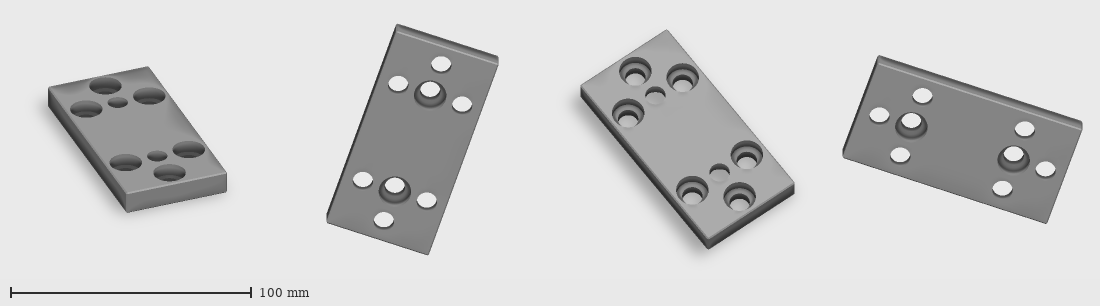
import cadquery as cq

length = 90.0
width = length / 2
thickness = 10.0
edge_chamfer = 0.5

hole_diameter = 8.5
counterbore_diameter = 13.5
counterbore_depth = 5.3
inner_column_x = length / 4
outer_hole_x = 36.5
row_offset_y = 14.0

bottom_bored_points = [(side * inner_column_x, 0) for side in (-1, 1)]
top_bored_points = []
for side in (-1, 1):
    top_bored_points += [
        (side * inner_column_x, row_offset_y),
        (side * inner_column_x, -row_offset_y),
        (side * outer_hole_x, 0),
    ]


def chamfered_plate():
    """Rectangular plate, centred on the origin, with every edge broken."""
    return cq.Workplane("XY").box(length, width, thickness).edges().chamfer(edge_chamfer)


def counterbored_holes(plate, face, points):
    """Counterbored through holes sunk from the selected face."""
    return (
        plate.faces(face)
        .workplane(origin=(0, 0, 0))
        .pushPoints(points)
        .cboreHole(hole_diameter, counterbore_diameter, counterbore_depth)
    )


plate = chamfered_plate()
plate = counterbored_holes(plate, ">Z", top_bored_points)
result = counterbored_holes(plate, "<Z", bottom_bored_points)